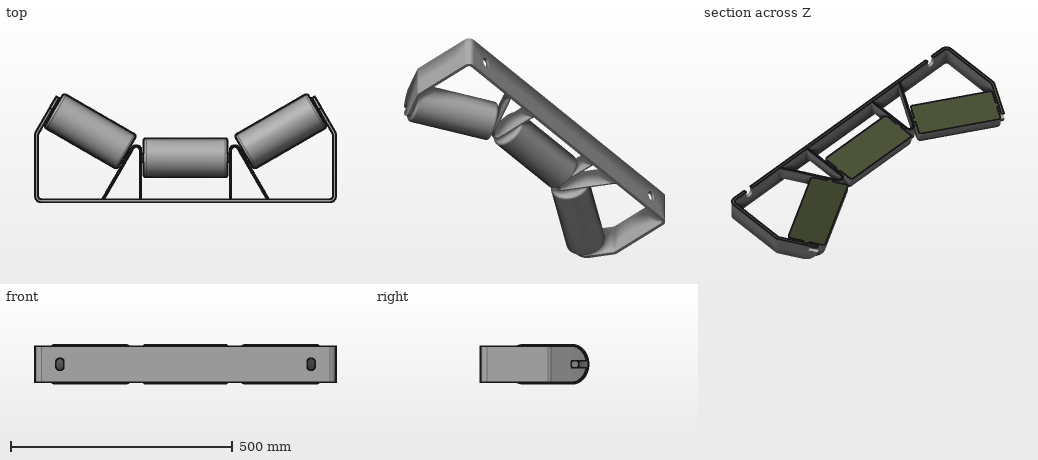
import cadquery as cq
import math

FRAME_LENGTH = 680.0
BAR_HEIGHT = 81.5
BAR_THICKNESS = 7.5
BEND_INNER_RADIUS = 7.0
WING_TIP_RISE = 30.5
MOUNT_SLOT_SPACING = 567.0
MOUNT_SLOT_WIDTH = 18.5
MOUNT_SLOT_LENGTH = 27.0

TROUGH_ANGLE = 30.0
ROLLER_DIAMETER = 89.0
ROLLER_LENGTH = 190.5
ROLLER_FILLET = 6.0
CENTER_ROLLER_Y = 100.5
SIDE_ROLLER_X = 215.0
SIDE_ROLLER_Y = 160.5
AXLE_RADIUS = 10.0
AXLE_FLAT_WIDTH = 15.0
WING_GAP = 3.5
BRACKET_GAP = 4.4

BRACKET_HEIGHT = 50.0
BRACKET_THICKNESS = 4.0
BRACKET_BEND_RADIUS = 11.5

TILT_SIN = math.sin(math.radians(TROUGH_ANGLE))
TILT_COS = math.cos(math.radians(TROUGH_ANGLE))

WING_INNER_FACE = ROLLER_LENGTH / 2 + WING_GAP
WING_OUTER_FACE = WING_INNER_FACE + BAR_THICKNESS
BRACKET_NEAR_FACE = ROLLER_LENGTH / 2 + BRACKET_GAP
BRACKET_FAR_FACE = BRACKET_NEAR_FACE + BRACKET_THICKNESS


def along_side_roller(axial, across):
    """Plan point of the left roller: axial is outward along its axis, across points to the wing tip."""
    x = -SIDE_ROLLER_X - axial * TILT_COS + across * TILT_SIN
    y = SIDE_ROLLER_Y + axial * TILT_SIN + across * TILT_COS
    return (x, y)


def mirrored(shape):
    return shape.mirror("YZ")


def wing_plane(axial):
    """Plane square to the left roller axis: local X runs along the wing, local Y along Z, normal outward."""
    x, y = along_side_roller(axial, 0)
    return cq.Plane(origin=(x, y, 0), xDir=(TILT_SIN, TILT_COS, 0), normal=(-TILT_COS, TILT_SIN, 0))


def make_roller(left_support, right_support):
    """Roller on the X axis, centred at the origin.

    Each support is given as the distances from the roller centre to its near and far faces.
    The axle is round up to the near face, flatted inside the support and flush with the far face.
    """
    left_near, left_far = left_support
    right_near, right_far = right_support
    shell_start = cq.Workplane("YZ", origin=(-ROLLER_LENGTH / 2, 0, 0))
    shell = shell_start.circle(ROLLER_DIAMETER / 2).extrude(ROLLER_LENGTH)
    shell = shell.edges("%CIRCLE").fillet(ROLLER_FILLET)

    axle_start = cq.Workplane("YZ", origin=(-left_far, 0, 0))
    axle_length = left_far + right_far
    axle = axle_start.circle(AXLE_RADIUS).extrude(axle_length)
    round_start = cq.Workplane("YZ", origin=(-left_near, 0, 0))
    round_part = round_start.rect(3 * AXLE_RADIUS, 3 * AXLE_RADIUS).extrude(left_near + right_near)
    flatted_part = axle_start.rect(3 * AXLE_RADIUS, AXLE_FLAT_WIDTH).extrude(axle_length)
    return shell.union(axle.intersect(round_part.union(flatted_part)))


def half_bar_face(inset):
    """Corners of one face of the left half of the bar in plan, from the mid plane round to the wing tip."""
    arm_x = -FRAME_LENGTH / 2 + inset
    wing_face = WING_OUTER_FACE - inset
    to_arm = (arm_x - along_side_roller(wing_face, 0)[0]) / TILT_SIN
    return [
        (0, inset),
        (arm_x, inset),
        along_side_roller(wing_face, to_arm),
        along_side_roller(wing_face, WING_TIP_RISE),
    ]


def make_half_bar():
    """Left half of the bent bar, with rounded bends and a square wing tip."""
    outer = half_bar_face(0)
    inner = half_bar_face(BAR_THICKNESS)
    bar = cq.Workplane("XY").polyline(outer + inner[::-1]).close().extrude(BAR_HEIGHT / 2, both=True)
    outer_radius = BEND_INNER_RADIUS + BAR_THICKNESS
    bends = [
        (outer[1], outer_radius),
        (inner[1], BEND_INNER_RADIUS),
        (outer[2], outer_radius),
        (inner[2], BEND_INNER_RADIUS),
    ]
    for (x, y), radius in bends:
        bar = bar.edges(cq.selectors.NearestToPointSelector((x, y, 0))).fillet(radius)
    return bar


def wing_tip_waste():
    """Material beyond the arc that rounds the wing tip, starting level with the roller axis."""
    half = BAR_HEIGHT / 2
    beyond_tip = 2 * WING_TIP_RISE
    return (
        cq.Workplane(wing_plane(WING_INNER_FACE))
        .moveTo(0, -half)
        .threePointArc((WING_TIP_RISE, 0), (0, half))
        .lineTo(beyond_tip, half)
        .lineTo(beyond_tip, -half)
        .close()
        .extrude(BAR_THICKNESS)
    )


def wing_slot():
    """Open slot in the wing: the axle drops in from the tip and rests on the round slot bottom."""
    start = cq.Workplane(wing_plane(WING_INNER_FACE))
    throat_length = 2 * WING_TIP_RISE
    throat = start.center(throat_length / 2, 0).rect(throat_length, AXLE_FLAT_WIDTH).extrude(BAR_THICKNESS)
    band = start.rect(2 * AXLE_RADIUS, AXLE_FLAT_WIDTH).extrude(BAR_THICKNESS)
    seat = start.circle(AXLE_RADIUS).extrude(BAR_THICKNESS).intersect(band)
    return throat.union(seat)


def make_frame():
    half_frame = make_half_bar().cut(wing_tip_waste()).cut(wing_slot())
    frame = half_frame.union(mirrored(half_frame))
    mount_slots = (
        cq.Workplane("XZ")
        .pushPoints([(side * MOUNT_SLOT_SPACING / 2, 0) for side in (-1, 1)])
        .slot2D(MOUNT_SLOT_LENGTH, MOUNT_SLOT_WIDTH, 90)
        .extrude(-BAR_THICKNESS)
    )
    return frame.cut(mount_slots)


def make_bracket():
    """Left bracket: an upright leg, a round top bend and a sloping leg, both standing on the back plate."""
    outer_radius = BRACKET_BEND_RADIUS
    inner_radius = outer_radius - BRACKET_THICKNESS
    bend_x = -BRACKET_NEAR_FACE - outer_radius
    bend_depth = BRACKET_NEAR_FACE + outer_radius
    bend_y = SIDE_ROLLER_Y + ((bend_x + SIDE_ROLLER_X) * TILT_COS - bend_depth) / TILT_SIN
    bend_end = 180 - TROUGH_ANGLE

    def on_bend(radius, angle):
        turn = math.radians(angle)
        return (bend_x + radius * math.cos(turn), bend_y + radius * math.sin(turn))

    def slope_foot(radius):
        x, y = on_bend(radius, bend_end)
        return (x - (y - BAR_THICKNESS) * TILT_SIN / TILT_COS, BAR_THICKNESS)

    return (
        cq.Workplane("XY")
        .moveTo(bend_x + outer_radius, BAR_THICKNESS)
        .lineTo(*on_bend(outer_radius, 0))
        .threePointArc(on_bend(outer_radius, bend_end / 2), on_bend(outer_radius, bend_end))
        .lineTo(*slope_foot(outer_radius))
        .lineTo(*slope_foot(inner_radius))
        .lineTo(*on_bend(inner_radius, bend_end))
        .threePointArc(on_bend(inner_radius, bend_end / 2), on_bend(inner_radius, 0))
        .lineTo(bend_x + inner_radius, BAR_THICKNESS)
        .close()
        .extrude(BRACKET_HEIGHT / 2, both=True)
    )


bracket_support = (BRACKET_NEAR_FACE, BRACKET_FAR_FACE)
wing_support = (WING_INNER_FACE, WING_OUTER_FACE)
center_roller = make_roller(bracket_support, bracket_support).translate((0, CENTER_ROLLER_Y, 0))
left_roller = (
    make_roller(wing_support, bracket_support)
    .rotate((0, 0, 0), (0, 0, 1), -TROUGH_ANGLE)
    .translate((-SIDE_ROLLER_X, SIDE_ROLLER_Y, 0))
)
frame = make_frame()
left_bracket = make_bracket().cut(left_roller).cut(center_roller)

bodies = [frame, center_roller]
for left_body in (left_bracket, left_roller):
    bodies += [left_body, mirrored(left_body)]
result = cq.Compound.makeCompound([body.solids().val() for body in bodies])